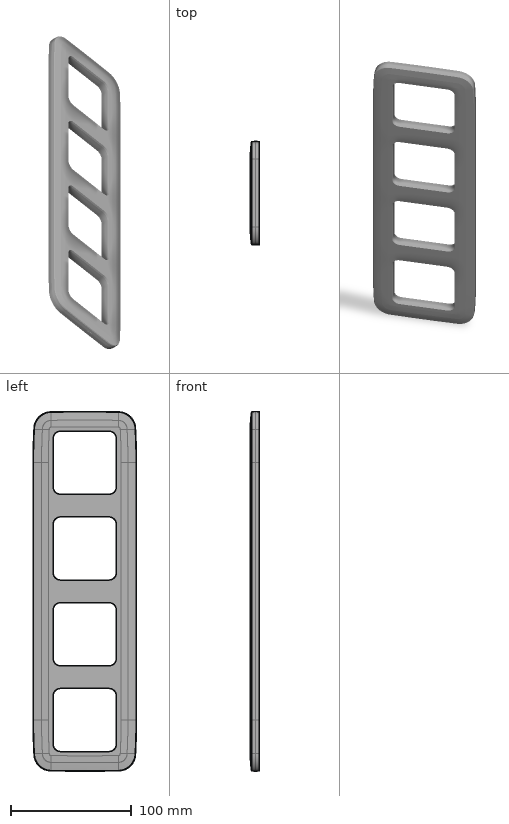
import cadquery as cq
import math

THICKNESS = 7.8
WIDTH = 86.0
LENGTH = 299.0

CORNER_RADIUS = 15.0
PANEL_INSET = 13.0
CREASE_INSET = 7.2
CREASE_DEPTH = 0.25
EDGE_INSET = 0.5
EDGE_DEPTH = 1.05
WALL_INSET = 0.15
WALL_DEPTH = 1.8
PARTING_DEPTH = 4.5
BACK_INSET = 0.15
SIDE_DROP = 0.75
END_DROP = 0.25

OPENING_COUNT = 4
OPENING_PITCH = 71.0
OPENING_SIZE = 52.0
OPENING_RADIUS = 6.0
FLARE_DEPTH = 1.5
FLARE_WIDTH = 0.35

NUB_WIDTH = 5.5
NUB_THICKNESS = 1.0
NUB_HEIGHT = 0.3
NUB_Y = -7.2
NUB_OVERLAP = 1.5

FRAME_LENGTH = LENGTH - NUB_HEIGHT
FRAME_CENTRE_Z = NUB_HEIGHT / 2
STRAIGHT_HALF = OPENING_PITCH * (OPENING_COUNT - 1) / 2


def outline(depth, inset):
    """Closed outline of the frame at the given depth, shrunk by the inset."""
    half_y = WIDTH / 2 - inset
    half_z = FRAME_LENGTH / 2 - inset
    radius = CORNER_RADIUS - inset
    centre_y = half_y - radius
    centre_z = half_z - radius
    side_y = half_y - SIDE_DROP
    end_z = half_z - END_DROP
    corner_y = centre_y + (radius - SIDE_DROP) * math.sqrt(0.5)
    corner_z = centre_z + (radius - END_DROP) * math.sqrt(0.5)
    bow_y = half_y - SIDE_DROP / 4
    bow_z = (STRAIGHT_HALF + centre_z) / 2

    return (
        cq.Workplane("YZ", origin=(depth, 0, FRAME_CENTRE_Z))
        .moveTo(half_y, -STRAIGHT_HALF)
        .lineTo(half_y, STRAIGHT_HALF)
        .threePointArc((bow_y, bow_z), (side_y, centre_z))
        .threePointArc((corner_y, corner_z), (centre_y, end_z))
        .threePointArc((0, half_z), (-centre_y, end_z))
        .threePointArc((-corner_y, corner_z), (-side_y, centre_z))
        .threePointArc((-bow_y, bow_z), (-half_y, STRAIGHT_HALF))
        .lineTo(-half_y, -STRAIGHT_HALF)
        .threePointArc((-bow_y, -bow_z), (-side_y, -centre_z))
        .threePointArc((-corner_y, -corner_z), (-centre_y, -end_z))
        .threePointArc((0, -half_z), (centre_y, -end_z))
        .threePointArc((corner_y, -corner_z), (side_y, -centre_z))
        .threePointArc((bow_y, -bow_z), (half_y, -STRAIGHT_HALF))
        .close()
        .val()
    )


def make_plate():
    """Solid plate skinned through outlines from the front panel to the back face."""
    sections = [
        (0, PANEL_INSET),
        (CREASE_DEPTH, CREASE_INSET),
        (EDGE_DEPTH, EDGE_INSET),
        (WALL_DEPTH, WALL_INSET),
        (PARTING_DEPTH, 0),
        (THICKNESS, BACK_INSET),
    ]
    wires = [outline(depth, inset) for depth, inset in sections]
    return cq.Workplane(cq.Solid.makeLoft(wires, True))


def opening_row(size, radius, depth, taper=0):
    """Row of rounded square cutters starting at the front face."""
    outlines = cq.Sketch().rarray(3, OPENING_PITCH, 1, OPENING_COUNT).rect(size, size)
    outlines = outlines.reset().vertices().fillet(radius)
    front = cq.Workplane("YZ", origin=(0, 0, FRAME_CENTRE_Z))
    return front.placeSketch(outlines).extrude(depth, taper=taper)


def make_openings():
    """Straight openings through the plate, each with a flared mouth at the front."""
    flare_angle = math.degrees(math.atan2(FLARE_WIDTH, FLARE_DEPTH))
    mouth_size = OPENING_SIZE + 2 * FLARE_WIDTH
    mouth_radius = OPENING_RADIUS + FLARE_WIDTH
    mouths = opening_row(mouth_size, mouth_radius, FLARE_DEPTH, flare_angle)
    return opening_row(OPENING_SIZE, OPENING_RADIUS, THICKNESS).union(mouths)


def make_nub():
    """Small block standing out of the lower edge."""
    height = NUB_HEIGHT + NUB_OVERLAP
    centre = (PARTING_DEPTH, NUB_Y, height / 2 - LENGTH / 2)
    return cq.Workplane("XY").box(NUB_THICKNESS, NUB_WIDTH, height).translate(centre)


result = make_plate().cut(make_openings()).union(make_nub())